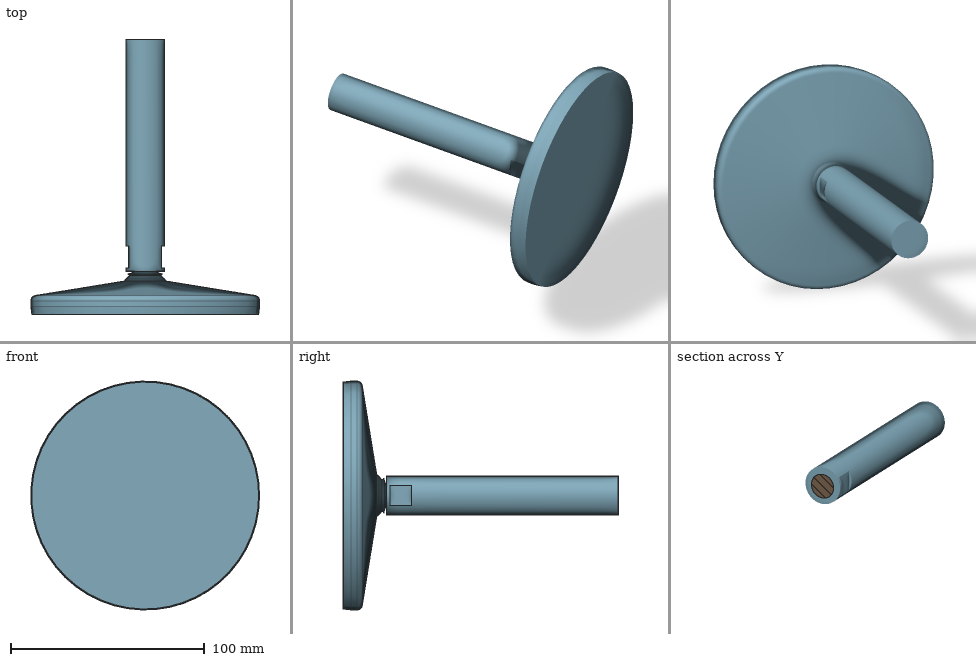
import cadquery as cq
import math

total_height = 142.0

foot_radius = 117.98 / 2
sole_radius = 58.5
taper_height = 4.15
rim_height = 7.1
shoulder_radius = 2.85
cone_angle = math.radians(9.2)
collar_base_radius = 10.8
collar_edge_radius = 10.0
collar_edge_height = 18.3
collar_top_radius = 8.0
collar_top_height = 20.2

stud_radius = 20.0 / 2
shank_start = 22.35
head_top_radius = 5.6
head_curve_radius = 5.0
head_rim_radius = 8.9
head_rim_height = 21.1
flats_width = 17.0
flats_start = 24.2
flats_end = 35.4


def revolve_about_y(profile):
    """Turn a closed XY half profile into a solid around the Y axis."""
    return profile.close().revolve(360, (0, 0, 0), (0, 1, 0))


def make_foot():
    """Round base: tapered sole edge, rounded shoulder, shallow cone and collar."""
    shoulder_centre_radius = foot_radius - shoulder_radius

    def on_shoulder(angle):
        return (
            shoulder_centre_radius + shoulder_radius * math.cos(angle),
            rim_height + shoulder_radius * math.sin(angle),
        )

    shoulder_sweep = math.pi / 2 - cone_angle
    cone_start = on_shoulder(shoulder_sweep)
    cone_rise = (cone_start[0] - collar_base_radius) * math.tan(cone_angle)
    profile = (
        cq.Workplane("XY")
        .lineTo(sole_radius, 0)
        .lineTo(foot_radius, taper_height)
        .lineTo(foot_radius, rim_height)
        .threePointArc(on_shoulder(shoulder_sweep / 2), cone_start)
        .lineTo(collar_base_radius, cone_start[1] + cone_rise)
        .lineTo(collar_edge_radius, collar_edge_height)
        .lineTo(collar_top_radius, collar_top_height)
        .lineTo(0, collar_top_height)
    )
    return revolve_about_y(profile)


def make_stud():
    """Plain shank with two wrench flats, and a flared head that rests on the collar."""
    profile = (
        cq.Workplane("XY")
        .moveTo(0, collar_top_height)
        .lineTo(collar_top_radius, collar_top_height)
        .lineTo(head_rim_radius, head_rim_height)
        .radiusArc((head_top_radius, shank_start), head_curve_radius)
        .lineTo(stud_radius, shank_start)
        .lineTo(stud_radius, total_height)
        .lineTo(0, total_height)
    )
    stud = revolve_about_y(profile)

    flat_depth = stud_radius - flats_width / 2
    flats_length = flats_end - flats_start
    for side in (-1, 1):
        cutter = cq.Workplane("XY").box(flat_depth, flats_length, 2 * stud_radius)
        cutter_x = side * (flats_width + flat_depth) / 2
        cutter_y = (flats_start + flats_end) / 2
        stud = stud.cut(cutter.translate((cutter_x, cutter_y, 0)))
    return stud


foot = make_foot()
stud = make_stud()
result = cq.Compound.makeCompound([foot.val(), stud.val()])